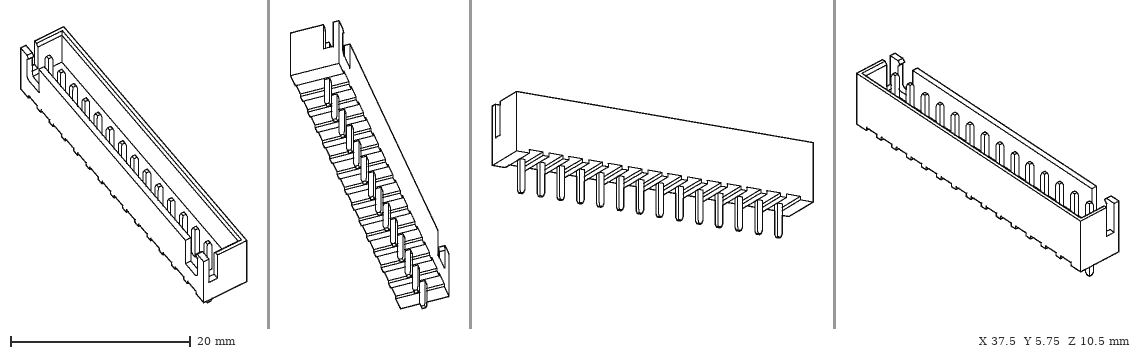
import cadquery as cq


length = 37.5
depth = 5.75
height = 7.0
wall = 0.7
floor_top = 2.1
end_lead_in = 0.3
back_lead_in = 0.25
lead_in_height = 0.35

pin_count = 14
pin_row_length = 32.5
pin_pitch = pin_row_length / (pin_count - 1)
pin_y = 2.18
pin_width = 0.65
pin_tip_taper = 0.1
pin_tip_length = 0.38
pin_top = 6.52
pin_bottom = -3.5

channel_width = 1.72
channel_height = 0.4

opening_bottom = 3.05
window_outer = 1.3
window_inner = 3.75
window_corner_radius = 0.55
barb_reach = 0.35
barb_drop = 0.35
barb_under_drop = 0.75
end_slot_back = 1.85

pin_positions = [-pin_row_length / 2 + i * pin_pitch for i in range(pin_count)]


def box(x_min, x_max, y_min, y_max, z_min, z_max):
    size = (x_max - x_min, y_max - y_min, z_max - z_min)
    return cq.Workplane("XY").box(*size, centered=False).translate((x_min, y_min, z_min))


def make_cavity():
    """Open-topped cavity with a sloped lead-in along the end and back walls."""
    half_width = length / 2 - wall
    back = depth - wall
    cavity = box(-half_width, half_width, wall, back, floor_top, height)
    lead_in_bottom = height - lead_in_height
    flare = (
        cq.Workplane("XY", origin=(0, wall, lead_in_bottom))
        .rect(2 * half_width, 2 * (back - wall))
        .workplane(offset=lead_in_height)
        .rect(2 * (half_width + end_lead_in), 2 * (back - wall + back_lead_in))
        .loft(ruled=True)
    )
    behind_front_wall = box(-length, length, wall, depth, 0, height)
    return cavity.union(flare.intersect(behind_front_wall))


def make_left_window():
    """Front-wall window whose outer edge has a pointed barb just below the rim."""
    outer = -length / 2 + window_outer
    inner = -length / 2 + window_inner
    barb_tip = outer + barb_reach
    profile = (
        cq.Workplane("XZ")
        .moveTo(inner, height)
        .lineTo(outer, height)
        .lineTo(barb_tip, height - barb_drop)
        .lineTo(outer, height - barb_under_drop)
        .lineTo(outer, opening_bottom + window_corner_radius)
        .radiusArc((outer + window_corner_radius, opening_bottom), -window_corner_radius)
        .lineTo(inner, opening_bottom)
        .close()
    )
    return profile.extrude(-wall)


def make_pin(x):
    """Square pin with a tapered tip at each end."""
    shank_bottom = pin_bottom + pin_tip_length
    shank_top = pin_top - pin_tip_length
    tip_width = pin_width - 2 * pin_tip_taper
    pin = (
        cq.Workplane("XY", origin=(x, pin_y, shank_bottom))
        .rect(pin_width, pin_width)
        .extrude(shank_top - shank_bottom)
    )
    for taper_base, taper_rise in ((shank_bottom, -pin_tip_length), (shank_top, pin_tip_length)):
        taper = (
            cq.Workplane("XY", origin=(x, pin_y, taper_base))
            .rect(pin_width, pin_width)
            .workplane(offset=taper_rise)
            .rect(tip_width, tip_width)
            .loft(ruled=True)
        )
        pin = pin.union(taper)
    return pin


housing = box(-length / 2, length / 2, 0, depth, 0, height).cut(make_cavity())

left_window = make_left_window()
housing = housing.cut(left_window).cut(left_window.mirror("YZ"))
housing = housing.cut(box(-length / 2, length / 2, wall, end_slot_back, opening_bottom, height))

for x in pin_positions:
    channel = box(x - channel_width / 2, x + channel_width / 2, 0, depth, 0, channel_height)
    housing = housing.cut(channel)

result = housing
for x in pin_positions:
    result = result.union(make_pin(x))